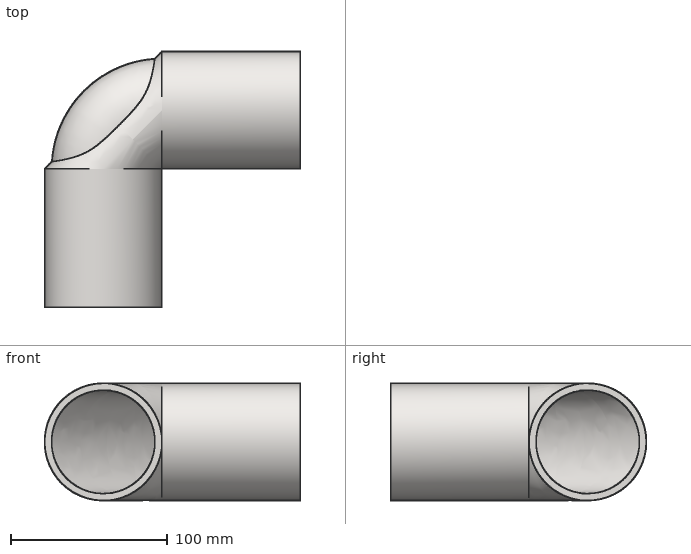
import cadquery as cq
import math

overall = 163.5
outer_diameter = 75.0
bore_diameter = 66.0
outer_radius = outer_diameter / 2
bore_radius = bore_diameter / 2
leg_length = overall - outer_diameter



def legs(radius):
    """Two perpendicular round bars, each starting level with the inner corner."""
    x_leg = cq.Workplane("YZ").center(outer_radius, 0).circle(radius).extrude(leg_length)
    y_leg = cq.Workplane("XZ").center(-outer_radius, 0).circle(radius).extrude(leg_length)
    return x_leg.union(y_leg)


def diagonal_link(radius):
    """Straight oblique bar joining the end circles of the two legs.

    It is an elliptical cylinder along the (1, 1, 0) diagonal, trimmed by the
    two planes in which the legs start.
    """
    diagonal = cq.Plane(origin=(0, 0, 0), xDir=(-1, 1, 0), normal=(1, 1, 0))
    bar = (
        cq.Workplane(diagonal)
        .center(outer_radius / math.sqrt(2), 0)
        .ellipse(radius / math.sqrt(2), radius)
        .extrude(overall, both=True)
    )
    corner = cq.Workplane("XY").box(overall, overall, overall).translate((-overall / 2, overall / 2, 0))
    return bar.intersect(corner)


def rounded_bend():
    """Quarter torus of bore size, bulging outside the diagonal link."""
    return (
        cq.Workplane("YZ")
        .center(outer_radius, 0)
        .circle(bore_radius)
        .revolve(90, (-outer_radius, 0), (-outer_radius, 1))
    )


tubes = legs(outer_radius).cut(legs(bore_radius))
elbow = diagonal_link(outer_radius).union(rounded_bend()).cut(diagonal_link(bore_radius))
centre_shift = (overall - 2 * leg_length) / 2
result = tubes.union(elbow).translate((-centre_shift, centre_shift, 0))